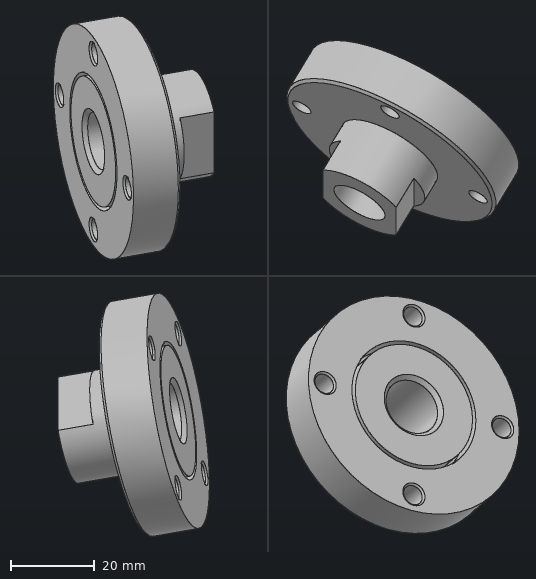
import cadquery as cq


flange_diameter = 57.0
flange_thickness = 12.0
rim_chamfer = 0.7

bolt_hole_count = 4
bolt_circle_radius = 24.0
bolt_hole_diameter = 5.0
bolt_mouth_diameter = 6.0

total_length = 27.0
hub_diameter = 26.0
plug_diameter = 31.7
flat_width = 20.0
flat_length = 8.65
bore_diameter = 13.9
bore_mouth_diameter = 16.0

recess_diameter = 33.5
recess_depth = flange_thickness / 2


def cylinder(diameter, start, end):
    """Solid cylinder on the Y axis between two Y positions."""
    return (
        cq.Workplane("XZ", origin=(0, start, 0))
        .circle(diameter / 2)
        .extrude(start - end)
    )


def chamfered_hole(diameter, mouth_diameter, length):
    """Cutter for a hole from Y = 0 with a 45 degree chamfer at its mouth."""
    radius = diameter / 2
    mouth_radius = mouth_diameter / 2
    chamfer_depth = mouth_radius - radius
    profile = [
        (0, 0),
        (mouth_radius, 0),
        (radius, chamfer_depth),
        (radius, length),
        (0, length),
    ]
    return cq.Workplane("XY").polyline(profile).close().revolve(360, (0, 0, 0), (0, 1, 0))


def make_flange():
    flange = cylinder(flange_diameter, 0, flange_thickness).faces(">Y").chamfer(rim_chamfer)

    flange = flange.cut(cylinder(recess_diameter, 0, recess_depth))
    flange = flange.cut(cylinder(hub_diameter, 0, flange_thickness))

    bolt_hole = chamfered_hole(bolt_hole_diameter, bolt_mouth_diameter, flange_thickness)
    first_hole = bolt_hole.translate((bolt_circle_radius, 0, 0))
    for index in range(bolt_hole_count):
        angle = index * 360 / bolt_hole_count
        flange = flange.cut(first_hole.rotate((0, 0, 0), (0, 1, 0), angle))
    return flange


def make_hub():
    plug = cylinder(plug_diameter, 0, recess_depth)
    shank = cylinder(hub_diameter, 0, total_length)

    rear_end = cylinder(hub_diameter, total_length - flat_length, total_length)
    flat_center = total_length - flat_length / 2
    kept_slab = cq.Workplane("XY").box(flat_width, flat_length, hub_diameter).translate((0, flat_center, 0))
    hub = plug.union(shank).cut(rear_end.cut(kept_slab))

    return hub.cut(chamfered_hole(bore_diameter, bore_mouth_diameter, total_length))


flange = make_flange()
hub = make_hub()

result = cq.Compound.makeCompound([flange.val(), hub.val()])